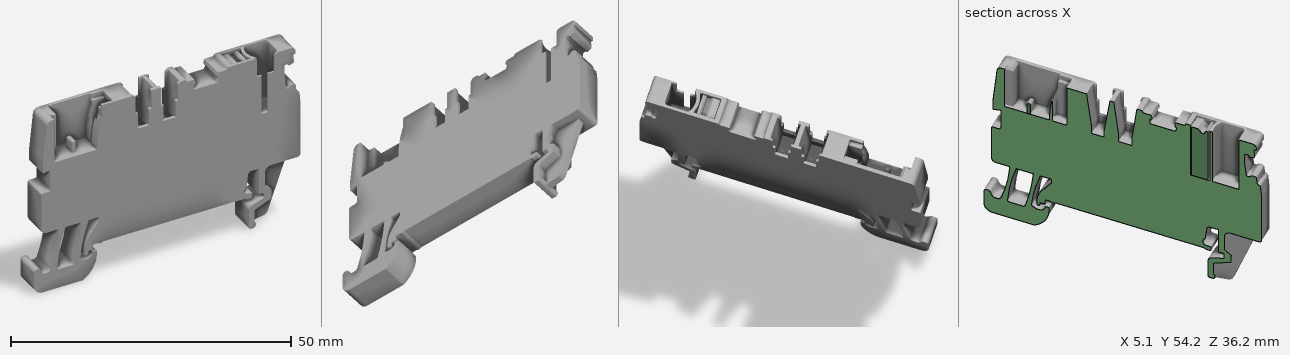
import cadquery as cq


THICKNESS = 5.1
LENGTH = 54.23
TOP = 36.15
BLOCK_BOTTOM = 12.5
BASE = 7.0
WALL = 0.49
MID_X = THICKNESS / 2
CLEAR = 2.0

BLOCK_FRONT = 1.5
FRONT_TOP = 2.67
BACK_UPPER = 53.2


def sketch(start):
    """Start a side profile (Y, Z) on the X = 0 face."""
    return cq.Workplane("YZ").moveTo(*start)


def plate(points, x_from=0.0, x_to=THICKNESS):
    """Extrude a straight-sided (Y, Z) profile from x_from to x_to."""
    profile = cq.Workplane("YZ", origin=(x_from, 0, 0)).polyline(points).close()
    return profile.extrude(x_to - x_from)


def box(x_range, y_range, z_range):
    """Axis-aligned box given by its limits."""
    sizes = [limits[1] - limits[0] for limits in (x_range, y_range, z_range)]
    corner = (x_range[0], y_range[0], z_range[0])
    return cq.Workplane("XY").box(*sizes, centered=False).translate(corner)


def round_edge(body, y, z, radius, x=MID_X):
    """Fillet the edge that runs along X through (y, z)."""
    return body.edges("|X").edges(cq.NearestToPointSelector((x, y, z))).fillet(radius)


NOTCH_TOP = 25.65
NOTCH_BOTTOM = 21.1
NOTCH_DEPTH_Y = 3.3
RECESS_BOTTOM = 28.1
FRONT_LIP = 1.8
LIP_DROP = 0.3
DRAFT_START = 27.8
BACK_STEP = 26.4


def upper_block():
    body = plate([
        (BLOCK_FRONT, BLOCK_BOTTOM),
        (BLOCK_FRONT, NOTCH_BOTTOM),
        (NOTCH_DEPTH_Y, NOTCH_BOTTOM),
        (NOTCH_DEPTH_Y, NOTCH_TOP),
        (FRONT_LIP, NOTCH_TOP - LIP_DROP),
        (FRONT_LIP, DRAFT_START),
        (FRONT_TOP, TOP),
        (BACK_UPPER, TOP),
        (BACK_UPPER, RECESS_BOTTOM),
        (53.37, BACK_STEP + 0.2),
        (53.78, BACK_STEP + 0.05),
        (53.98, BACK_STEP - 0.15),
        (LENGTH, 23.6),
        (LENGTH, BLOCK_BOTTOM),
    ])
    body = round_edge(body, BLOCK_FRONT, BLOCK_BOTTOM, 0.9)
    for corner_y in (BLOCK_FRONT, NOTCH_DEPTH_Y):
        body = round_edge(body, corner_y, NOTCH_BOTTOM, 0.35)
    body = round_edge(body, LENGTH, BLOCK_BOTTOM, 0.7)
    body = round_edge(body, FRONT_TOP, TOP, 1.05)
    return round_edge(body, BACK_UPPER, TOP, 0.9)


def back_recess():
    """Marker recess in the +Y end, with its two snap lips."""
    outside = LENGTH + CLEAR
    return (
        sketch((outside, 34.7))
        .lineTo(52.72, 34.7)
        .lineTo(52.88, 32.95)
        .lineTo(51.9, 32.56)
        .lineTo(51.4, 33.05)
        .lineTo(50.92, 32.85)
        .lineTo(50.92, 30.5)
        .lineTo(51.25, 27.85)
        .lineTo(51.85, 27.85)
        .threePointArc((52.5, 28.35), (53.15, RECESS_BOTTOM))
        .lineTo(outside, RECESS_BOTTOM)
        .close()
        .extrude(THICKNESS)
    )


def top_marker_groove():
    """Undercut groove for a label strip, between two lowered ledges."""
    ledge = 35.67
    lip = 34.9
    floor = 33.54
    return plate([
        (39.48, TOP + CLEAR),
        (39.48, TOP),
        (39.14, ledge),
        (37.4, ledge),
        (37.17, lip),
        (37.6, 34.2),
        (37.3, floor),
        (32.5, floor),
        (32.4, 34.4),
        (32.93, lip),
        (32.6, ledge),
        (31.1, ledge),
        (30.85, TOP),
        (30.85, TOP + CLEAR),
    ])


SLOT_FLOOR = 28.84
SLOT_STEP = 32.2
TAPER_END = SLOT_FLOOR - 0.4
BRIDGE_FLOOR = SLOT_FLOOR - 2.0
BRIDGE_X = (WALL, 4.45)
STEP_ROUND = 0.25

BRIDGE_SLOTS = [
    {"upper": (25.92, 29.3), "lower": (26.37, 28.83), "mouth": (25.4, 29.83), "rounds": (0.2, 0.9)},
    {"upper": (20.65, 23.92), "lower": (21.1, 23.43), "mouth": (20.1, 24.59), "rounds": (0.7, 0.2)},
]


def stepped_profile(upper, lower, step, floor):
    """Profile of an opening that narrows at a step, open at the top face."""
    return [
        (upper[0], TOP + CLEAR),
        (upper[0], step),
        (lower[0], step),
        (lower[0], floor),
        (lower[1], floor),
        (lower[1], step),
        (upper[1], step),
        (upper[1], TOP + CLEAR),
    ]


def cut_bridge_slot(body, slot):
    opening = plate(stepped_profile(slot["upper"], slot["lower"], SLOT_STEP, SLOT_FLOOR))
    mouth = slot["mouth"]
    well = slot["lower"]
    pocket = plate(
        [
            (mouth[0], TOP),
            (well[0], TAPER_END),
            (well[0], BRIDGE_FLOOR),
            (well[1], BRIDGE_FLOOR),
            (well[1], TAPER_END),
            (mouth[1], TOP),
        ],
        *BRIDGE_X,
    )
    for edge_y in slot["upper"]:
        opening = round_edge(opening, edge_y, SLOT_STEP, STEP_ROUND)
    body = body.cut(opening)
    for edge_y, radius in zip(slot["upper"], slot["rounds"]):
        body = round_edge(body, edge_y, TOP, radius)
    return body.cut(pocket)


def cut_bridge_slots(body):
    for slot in BRIDGE_SLOTS:
        body = cut_bridge_slot(body, slot)
    return body


FUNNEL_X = (WALL, 4.75)
FUNNEL_BACK = 49.75
FUNNEL_FLOOR = 24.0
FUNNEL_APEX = 44.55
WINDOW_UPPER = (45.3, 48.85)
WINDOW_LOWER = (46.3, 47.6)
WINDOW_ROUNDS = (0.4, 0.8)


def wire_funnel():
    left, right = FUNNEL_X
    corner = 0.6
    return (
        cq.Workplane("XY", origin=(0, 0, FUNNEL_FLOOR))
        .moveTo(left, 45.25)
        .lineTo(left, FUNNEL_BACK - corner)
        .radiusArc((left + corner, FUNNEL_BACK), corner)
        .lineTo(right, FUNNEL_BACK)
        .lineTo(right, 45.4)
        .threePointArc((MID_X, FUNNEL_APEX), (left, 45.25))
        .close()
        .extrude(TOP - FUNNEL_FLOOR)
    )


def funnel_window():
    """Stepped opening in the +X wall of the funnel."""
    profile = stepped_profile(WINDOW_UPPER, WINDOW_LOWER, SLOT_STEP, FUNNEL_FLOOR)
    return plate(profile, FUNNEL_X[1], THICKNESS)


def cut_wire_funnel(body):
    body = body.cut(wire_funnel()).cut(funnel_window())
    for edge_y, radius in zip(WINDOW_UPPER, WINDOW_ROUNDS):
        body = round_edge(body, edge_y, TOP, radius, x=THICKNESS)
    return body


BUTTON_WELL_X = (0.65, 4.58)
BUTTON_WELL_Y = (40.35, 44.3)
BUTTON_FLOOR = 24.0
BUTTON_GAP = 0.15
BUTTON_TOP = TOP - 0.3


def button_well():
    """Rectangular well; the round wall of the wire funnel bulges into it."""
    left, right = BUTTON_WELL_X
    front, back = BUTTON_WELL_Y
    bulge = 0.35
    bulge_side = 0.3
    return (
        cq.Workplane("XY", origin=(0, 0, BUTTON_FLOOR))
        .moveTo(left, front)
        .lineTo(left, back)
        .lineTo(left + bulge_side, back)
        .threePointArc(((left + right) / 2, back - bulge), (right - bulge_side, back))
        .lineTo(right, back)
        .lineTo(right, front)
        .close()
        .extrude(TOP - BUTTON_FLOOR)
    )


def push_button():
    """Button with a finger ridge, a notch for the screwdriver tip and a flat."""
    front = BUTTON_WELL_Y[0] + BUTTON_GAP
    back = 43.75
    ridge = 0.8
    return (
        cq.Workplane("YZ", origin=(BUTTON_WELL_X[0] + BUTTON_GAP, 0, 0))
        .moveTo(front, BUTTON_FLOOR)
        .lineTo(front, BUTTON_TOP)
        .lineTo(41.77, BUTTON_TOP)
        .lineTo(42.45, BUTTON_TOP - 0.75)
        .lineTo(back - ridge, BUTTON_TOP - 0.9)
        .lineTo(back - ridge, BUTTON_TOP - ridge)
        .radiusArc((back, BUTTON_TOP), ridge)
        .lineTo(back, BUTTON_FLOOR)
        .close()
        .extrude(BUTTON_WELL_X[1] - BUTTON_WELL_X[0] - 2 * BUTTON_GAP)
    )


POCKET_X = 0.65
POCKET_BACK = 13.8
POCKET_FLOOR = 27.0
SHOULDER_TOP = TOP - 2.5
SHOULDER = 1.0
SHOULDER_HEIGHT = 6.0
POCKET_FRONT = 5.12
RIM_BEVEL = 0.5
CORNER_FRONT = 4.15
CORNER_X = 2.45


def open_pocket():
    """Pocket open to the +X side; its back wall carries a round shoulder."""
    shoulder_y = POCKET_BACK - SHOULDER
    shoulder_radius = (SHOULDER_HEIGHT**2 + SHOULDER**2) / (2 * SHOULDER)
    main = (
        cq.Workplane("YZ", origin=(POCKET_X, 0, 0))
        .moveTo(POCKET_BACK, TOP)
        .lineTo(POCKET_BACK, SHOULDER_TOP)
        .radiusArc((shoulder_y, SHOULDER_TOP - SHOULDER_HEIGHT), -shoulder_radius)
        .lineTo(shoulder_y, POCKET_FLOOR)
        .lineTo(POCKET_FRONT + RIM_BEVEL, POCKET_FLOOR)
        .lineTo(POCKET_FRONT + RIM_BEVEL, TOP - RIM_BEVEL)
        .lineTo(POCKET_FRONT, TOP)
        .close()
        .extrude(THICKNESS - POCKET_X)
    )
    corner = (
        cq.Workplane("XZ", origin=(0, POCKET_FRONT + RIM_BEVEL, 0))
        .polyline([
            (CORNER_X, TOP),
            (THICKNESS, TOP),
            (THICKNESS, POCKET_FLOOR),
            (CORNER_X + RIM_BEVEL, POCKET_FLOOR),
            (CORNER_X + RIM_BEVEL, TOP - RIM_BEVEL),
        ])
        .close()
        .extrude(POCKET_FRONT + RIM_BEVEL - CORNER_FRONT)
    )
    return main.union(corner)


def test_slot():
    """Stepped slot behind the open pocket, joined to it by a narrow gap."""
    back = 16.25
    ledge = TOP - 1.0
    wide = box((0.98, 4.58), (POCKET_BACK, back), (ledge, TOP))
    deep = box((1.64, 3.77), (POCKET_BACK - 0.35, back), (POCKET_FLOOR, TOP))
    gap = box((2.3, 3.1), (POCKET_BACK - SHOULDER, back), (POCKET_FLOOR, TOP))
    return wide.union(deep).union(gap)


BLADE_CENTER = (2.79, 8.8)
BLADE_SIZE = (2.0, 0.8)
BLADE_HEIGHT = 2.5
BLADE_BEVEL = 0.3


def contact_blade():
    """Bevelled blade standing on the floor of the open pocket."""
    return (
        cq.Workplane("XY", origin=(*BLADE_CENTER, POCKET_FLOOR))
        .rect(*BLADE_SIZE)
        .extrude(BLADE_HEIGHT)
        .faces(">Z")
        .chamfer(BLADE_BEVEL)
    )


def base():
    """Middle part on the rail, with a fixed hook at +Y and a stop tip at -Y."""
    return (
        sketch((13.2, BLOCK_BOTTOM + 1))
        .lineTo(13.2, 11.7)
        .lineTo(11.9, 9.86)
        .threePointArc((10.75, 8.1), (10.36, 6.2))
        .lineTo(10.36, 5.15)
        .lineTo(10.87, 5.15)
        .lineTo(11.08, 5.93)
        .lineTo(12.0, 5.93)
        .lineTo(12.06, BASE)
        .lineTo(12.9, BASE)
        .threePointArc((13.5, BASE - 0.2), (14.1, BASE))
        .lineTo(42.9, BASE)
        .lineTo(43.4, 6.75)
        .lineTo(44.35, 6.8)
        .lineTo(44.35, 7.8)
        .lineTo(43.3, 7.85)
        .threePointArc((42.75, 8.4), (43.2, 9.3))
        .lineTo(43.56, 12.1)
        .lineTo(43.9, BLOCK_BOTTOM)
        .lineTo(43.9, BLOCK_BOTTOM + 1)
        .close()
        .extrude(THICKNESS)
    )


ARM_INNER = 45.7
ARM_OUTER = 46.98
FOOT_INNER = 43.7
FOOT_OUTER = 44.85
WEB_X = (1.9, THICKNESS - 1.9)


def fixed_foot_arm():
    """Full-width cranked arm of the fixed foot at the +Y end."""
    return (
        sketch((ARM_INNER, BLOCK_BOTTOM + 1))
        .lineTo(ARM_INNER, 7.03)
        .lineTo(46.75, 7.03)
        .lineTo(46.83, 6.0)
        .lineTo(44.7, 5.25)
        .threePointArc((44.0, 4.9), (FOOT_INNER, 3.95))
        .lineTo(FOOT_INNER, 0.4)
        .lineTo(FOOT_INNER + 0.25, 0.15)
        .lineTo(44.7, 0.15)
        .threePointArc((45.15, 0.8), (FOOT_OUTER, 1.43))
        .lineTo(FOOT_OUTER, 3.97)
        .lineTo(48.25, 5.4)
        .lineTo(48.3, 7.3)
        .lineTo(ARM_OUTER, 8.2)
        .lineTo(ARM_OUTER, 11.3)
        .threePointArc((47.3, 12.15), (48.2, BLOCK_BOTTOM))
        .lineTo(48.2, BLOCK_BOTTOM + 1)
        .close()
        .extrude(THICKNESS)
    )


def fixed_foot_web():
    """Thinner stiffening web behind the arm."""
    return plate(
        [
            (ARM_INNER + 0.5, BLOCK_BOTTOM + 1),
            (52.5, BLOCK_BOTTOM + 1),
            (52.5, BLOCK_BOTTOM),
            (48.45, 1.3),
            (47.9, 0.85),
            (FOOT_INNER + 0.5, 0.25),
            (FOOT_INNER + 0.5, 4.4),
            (47.4, 5.7),
            (47.4, 7.4),
            (ARM_INNER + 0.5, 7.8),
        ],
        *WEB_X,
    )


HOOK_ROUND = 0.75
VALLEY = 3.93


def spring_foot():
    """Release foot at the -Y end, hung on two curved spring legs."""
    over = BLOCK_BOTTOM + 0.5
    foot = (
        sketch((5.06, over))
        .lineTo(5.02, BLOCK_BOTTOM - 0.5)
        .threePointArc((4.47, 8.2), (3.35, 4.25))
        .lineTo(3.0, VALLEY)
        .lineTo(2.05, VALLEY)
        .lineTo(1.85, 4.05)
        .lineTo(2 * HOOK_ROUND, 4.55)
        .threePointArc((HOOK_ROUND, 4.55 + HOOK_ROUND), (0.0, 4.55))
        .lineTo(0.0, 1.8)
        .threePointArc((0.5, 0.55), (1.75, 0.0))
        .lineTo(9.9, 0.0)
        .threePointArc((11.75, 1.6), (12.75, 4.1))
        .lineTo(12.8, 5.45)
        .lineTo(11.95, 5.5)
        .lineTo(11.85, 4.8)
        .threePointArc((10.55, 4.25), (9.38, 4.85))
        .threePointArc((10.05, 9.0), (11.1, BLOCK_BOTTOM))
        .lineTo(11.1, over)
        .close()
        .extrude(THICKNESS)
    )
    window = (
        sketch((9.64, BLOCK_BOTTOM))
        .threePointArc((9.05, 8.2), (8.0, VALLEY))
        .lineTo(4.7, VALLEY)
        .threePointArc((5.4, 9.0), (6.4, BLOCK_BOTTOM))
        .close()
        .extrude(THICKNESS)
    )
    for corner_y in (8.0, 4.7):
        window = round_edge(window, corner_y, VALLEY, 0.35)
    return foot.cut(window)


def make_housing():
    body = upper_block().cut(back_recess()).cut(top_marker_groove())
    body = body.union(base()).union(fixed_foot_arm()).union(fixed_foot_web())
    body = cut_bridge_slots(body)
    body = cut_wire_funnel(body)
    body = body.cut(button_well())
    body = body.cut(open_pocket()).cut(test_slot())
    return body.union(spring_foot())


housing = make_housing()
button = push_button()
blade = contact_blade()

result = cq.Compound.makeCompound([housing.val(), button.val(), blade.val()])